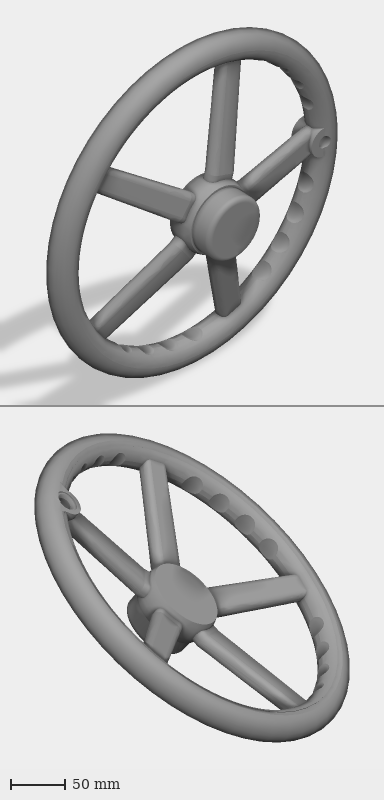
import cadquery as cq
import math

overcut = 1.0

rim_outer_radius = 177.5
rim_tube_radius = 15.0
rim_depth = 2 * rim_tube_radius
rim_radius = rim_outer_radius - rim_tube_radius
band_outer_radius = 161.7
band_inner_radius = 156.7
band_depth = 2.0
inner_flat_width = 5.0

hub_front_x = 24.0
hub_end_radius = 35.8
hub_max_radius = 39.0
collar_x = 52.0
collar_radius = 67.0 / 2
hub_end_x = 74.0
collar_rounding = 5.0

spoke_count = 5
spoke_pitch = 360.0 / spoke_count
spoke_rear_x = 45.5
spoke_bend_radius = 43.4
spoke_root_radius = 20.0
spoke_end_radius = 155.0
spoke_slope = 0.224
spoke_root_thickness = 15.5
spoke_end_thickness = 14.5
spoke_root_width = 31.0
spoke_end_width = 25.5
handle_spoke_end_width = 29.0
spoke_root_rounding = 7.0
spoke_end_rounding = 5.0
handle_spoke_end_rounding = 6.5

boss_radius = 15.7
boss_centre_radius = 154.0
boss_flare_half_width = 21.0
boss_outer_radius = 162.0
boss_front_x = 0.7
boss_rear_x = 28.0
spotface_diameter = 22.1
spotface_depth = 1.0
handle_hole_diameter = 13.0
countersink_diameter = 18.7

grips_per_gap = 4
grip_pitch = 12.0
grip_radius = 14.0
grip_bottom_radius = 151.0


def turned(part, angle):
    """Turn a feature lying along +Y about the wheel axis, toward +Z."""
    return part.rotate((0, 0, 0), (1, 0, 0), angle)


def revolved(profile):
    """Spin an (X, radius) profile about the wheel axis."""
    return profile.revolve(360, (0, 0, 0), (1, 0, 0))


def axial_cylinder(radius, start_x, end_x, centre_radius):
    """Cylinder parallel to the wheel axis, with its own axis at Y = centre_radius."""
    disc = cq.Workplane("YZ").workplane(offset=start_x).center(centre_radius, 0).circle(radius)
    return disc.extrude(end_x - start_x)


def make_rim():
    """Round tube ring with a conical front band and a narrow flat around its inside."""
    tube = revolved(cq.Workplane("XY").moveTo(rim_tube_radius, rim_radius).circle(rim_tube_radius))
    band = revolved(
        cq.Workplane("XY")
        .moveTo(0, band_outer_radius)
        .lineTo(band_depth, band_inner_radius)
        .lineTo(0, band_inner_radius)
        .close()
    )
    flat_rise = math.sqrt(rim_tube_radius**2 - (inner_flat_width / 2) ** 2)
    bore = axial_cylinder(rim_radius - flat_rise, 0, rim_depth, 0)
    return tube.cut(band).cut(bore)


def make_hub():
    """Barrel-shaped hub with a straight collar behind it."""
    barrel_middle_x = (hub_front_x + collar_x) / 2
    hub = revolved(
        cq.Workplane("XY")
        .moveTo(hub_front_x, 0)
        .lineTo(hub_front_x, hub_end_radius)
        .threePointArc((barrel_middle_x, hub_max_radius), (collar_x, hub_end_radius))
        .lineTo(collar_x, collar_radius)
        .lineTo(hub_end_x, collar_radius)
        .lineTo(hub_end_x, 0)
        .close()
    )
    return hub.faces(">X").edges().fillet(collar_rounding)


def spoke_section(radius, rear_x, thickness, width, rounding):
    """Rounded rectangle across the spoke, at one distance from the wheel axis."""
    plane = cq.Plane((rear_x - thickness / 2, radius, 0), (1, 0, 0), (0, 1, 0))
    return cq.Sketch().rect(thickness, width).vertices().fillet(rounding).moved(cq.Location(plane))


def make_spoke(end_width, end_rounding):
    """Straight stub inside the hub, then a tapered arm leaning forward to the rim."""
    end_rear_x = spoke_rear_x - spoke_slope * (spoke_end_radius - spoke_bend_radius)
    root = (spoke_root_thickness, spoke_root_width, spoke_root_rounding)
    end = (spoke_end_thickness, end_width, end_rounding)
    inner = spoke_section(spoke_root_radius, spoke_rear_x, *root)
    bend = spoke_section(spoke_bend_radius, spoke_rear_x, *root)
    outer = spoke_section(spoke_end_radius, end_rear_x, *end)
    stub = cq.Workplane("XY").placeSketch(inner, bend).loft(ruled=True)
    arm = cq.Workplane("XY").placeSketch(bend, outer).loft(ruled=True)
    return stub.union(arm)


def boss_prism(start_x, end_x):
    """Half-round outline that flares out to meet the front band of the rim."""
    outline = (
        cq.Workplane("YZ")
        .workplane(offset=start_x)
        .moveTo(boss_centre_radius, boss_radius)
        .threePointArc((boss_centre_radius - boss_radius, 0), (boss_centre_radius, -boss_radius))
        .lineTo(boss_outer_radius, -boss_flare_half_width)
        .lineTo(boss_outer_radius, boss_flare_half_width)
        .close()
    )
    return outline.extrude(end_x - start_x)


def make_handle_bore():
    """Spotface, countersink and through hole for the handle."""
    spotface_x = boss_front_x + spotface_depth
    countersink_depth = (countersink_diameter - handle_hole_diameter) / 2
    spotface = axial_cylinder(spotface_diameter / 2, -overcut, spotface_x, boss_centre_radius)
    hole = axial_cylinder(handle_hole_diameter / 2, -overcut, rim_depth + overcut, boss_centre_radius)
    countersink = cq.Workplane(
        cq.Solid.makeCone(
            countersink_diameter / 2,
            handle_hole_diameter / 2,
            countersink_depth,
            cq.Vector(spotface_x, boss_centre_radius, 0),
            cq.Vector(1, 0, 0),
        )
    )
    return spotface.union(hole).union(countersink)


def make_grips():
    """Cylinders along X, spread evenly between the spokes, that scallop the inside of the rim."""
    grip = axial_cylinder(grip_radius, -overcut, rim_depth + overcut, grip_radius - grip_bottom_radius)
    grip = turned(grip, 180)
    first_angle = (spoke_pitch - (grips_per_gap - 1) * grip_pitch) / 2
    angles = []
    for gap in range(spoke_count):
        for step in range(grips_per_gap):
            angles.append(gap * spoke_pitch + first_angle + step * grip_pitch)
    return [turned(grip, angle) for angle in angles]


rim = make_rim()
for grip in make_grips():
    rim = rim.cut(grip)
result = rim.union(make_hub()).union(make_spoke(handle_spoke_end_width, handle_spoke_end_rounding))
spoke = make_spoke(spoke_end_width, spoke_end_rounding)
for number in range(1, spoke_count):
    result = result.union(turned(spoke, number * spoke_pitch))
result = result.union(boss_prism(boss_front_x, boss_rear_x))
result = result.cut(boss_prism(-overcut, boss_front_x)).cut(make_handle_bore())